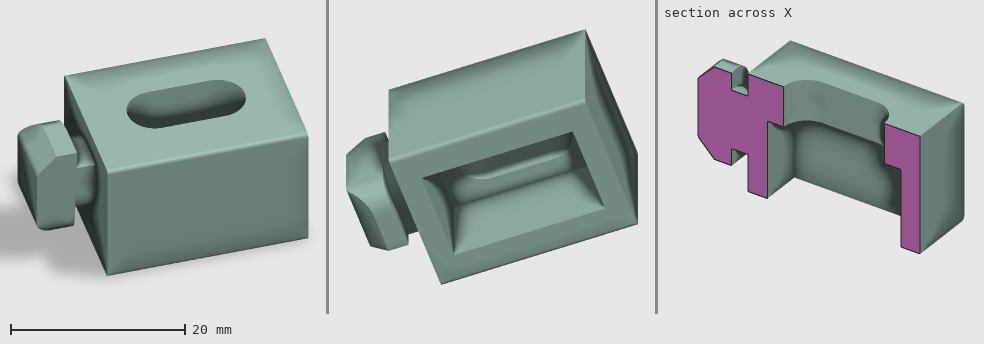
import cadquery as cq

BODY_WIDTH = 18.0
BODY_LENGTH = 24.0
BODY_HEIGHT = 16.0
BODY_EDGE_RADIUS = 0.5

SLOT_LENGTH = 14.0
SLOT_WIDTH = 6.5

RECESS_MARGIN = 2.25
RECESS_LENGTH = SLOT_LENGTH + 2 * RECESS_MARGIN
RECESS_WIDTH = SLOT_WIDTH + 2 * RECESS_MARGIN
LEDGE_THICKNESS = 5.5

KEY_AXIS_Z = 1.0
KEY_WIDTH = 8.0
NECK_HEIGHT = KEY_WIDTH
NECK_LENGTH = 2.22
NECK_CORNER_RADIUS = KEY_WIDTH / 2
HEAD_HEIGHT = 12.6
HEAD_CORNER_RADIUS = 3.0
KEY_LENGTH = 7.0
NOSE_CHAMFER = 2.34
NOSE_RADIUS = 1.05
LEAD_IN_DEPTH = 0.26

BODY_FRONT_Y = -BODY_LENGTH / 2
HEAD_BACK_Y = BODY_FRONT_Y - NECK_LENGTH
KEY_FRONT_Y = BODY_FRONT_Y - KEY_LENGTH


def make_body():
    """Rounded block with a through slot that widens into a square-cornered recess below the ledge."""
    block = cq.Workplane("XY").box(BODY_WIDTH, BODY_LENGTH, BODY_HEIGHT)
    block = block.edges("|Y").fillet(BODY_EDGE_RADIUS)
    slot = cq.Workplane("XY").slot2D(SLOT_LENGTH, SLOT_WIDTH, 90).extrude(BODY_HEIGHT, both=True)
    recess = (
        cq.Workplane("XY", origin=(0, 0, -BODY_HEIGHT / 2))
        .rect(RECESS_WIDTH, RECESS_LENGTH)
        .extrude(BODY_HEIGHT - LEDGE_THICKNESS)
    )
    return block.cut(slot).cut(recess)


def make_key_bar(height, corner_radius, back_y, front_y):
    """Bar along Y with its -X/+Z and +X/-Z corners rounded so that it can be turned in a slot."""
    bar = (
        cq.Workplane("XZ", origin=(0, back_y, KEY_AXIS_Z))
        .rect(KEY_WIDTH, height)
        .extrude(back_y - front_y)
    )
    for corner in ("|Y and <(-1, 0, 1)", "|Y and >(-1, 0, 1)"):
        bar = bar.edges(corner).fillet(corner_radius)
    return bar


def make_head_envelope():
    """Side profile of the head: chamfered top and bottom, with softened nose edges."""
    half_height = HEAD_HEIGHT / 2
    nose_half_height = half_height - NOSE_CHAMFER
    chamfer_back_y = KEY_FRONT_Y + NOSE_CHAMFER
    profile = [
        (HEAD_BACK_Y, -half_height),
        (HEAD_BACK_Y, half_height),
        (chamfer_back_y, half_height),
        (KEY_FRONT_Y, nose_half_height),
        (KEY_FRONT_Y, -nose_half_height),
        (chamfer_back_y, -half_height),
    ]
    envelope = (
        cq.Workplane("YZ", origin=(0, 0, KEY_AXIS_Z))
        .polyline(profile)
        .close()
        .extrude(KEY_WIDTH / 2, both=True)
    )
    return envelope.faces("<Y").edges("|X").fillet(NOSE_RADIUS)


def make_lead_in(side):
    """Wedge removed from the back of the head; side -1 is the upper -X one, +1 the lower +X one."""
    outer_x = side * KEY_WIDTH / 2
    return (
        cq.Workplane("XY", origin=(0, 0, KEY_AXIS_Z))
        .polyline([(0, HEAD_BACK_Y), (outer_x, HEAD_BACK_Y), (outer_x, HEAD_BACK_Y - LEAD_IN_DEPTH)])
        .close()
        .extrude(-side * HEAD_HEIGHT / 2)
    )


def make_key():
    """Neck and head; the neck reaches past the lead-in wedges so it stays whole behind them."""
    head = make_key_bar(HEAD_HEIGHT, HEAD_CORNER_RADIUS, HEAD_BACK_Y, KEY_FRONT_Y)
    head = head.intersect(make_head_envelope())
    for side in (-1, 1):
        head = head.cut(make_lead_in(side))
    neck = make_key_bar(NECK_HEIGHT, NECK_CORNER_RADIUS, BODY_FRONT_Y, HEAD_BACK_Y - LEAD_IN_DEPTH)
    return head.union(neck)


result = make_body().union(make_key())